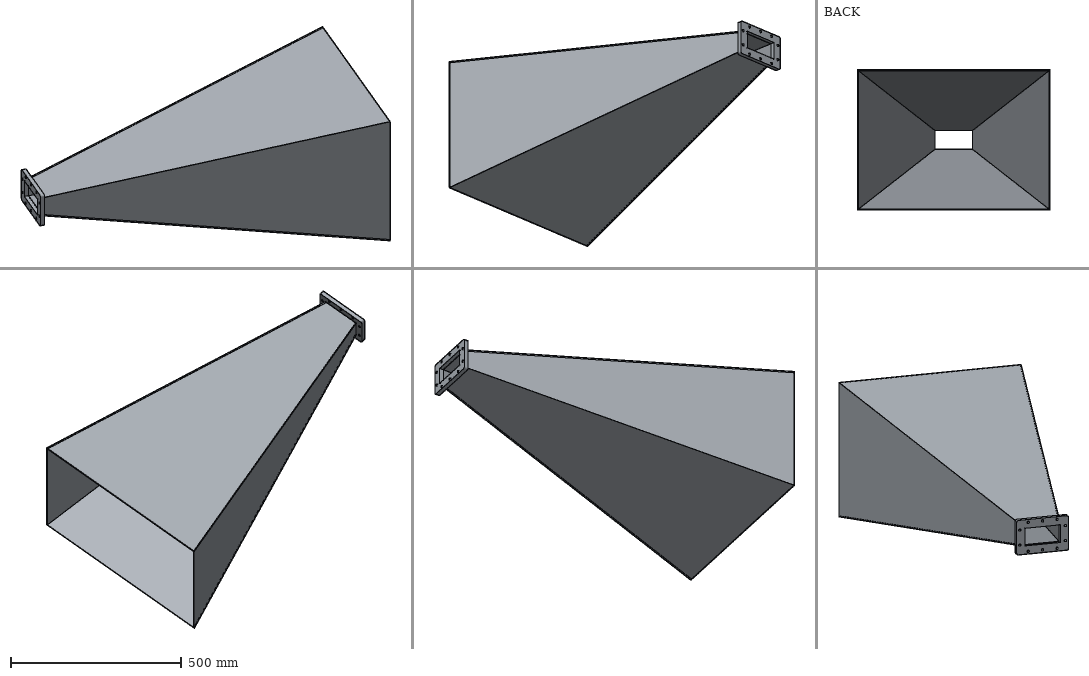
import cadquery as cq
import math

total_length = 1022.0
mouth_width = 566.0
mouth_height = 413.0
wall = 3.0

guide_width = 109.0
guide_height = 54.0
flange_width = 162.0
flange_height = 106.0
flange_thickness = 13.0
flange_corner_radius = 6.0

throat_width = 118.0
throat_height = 62.0

hole_diameter = 6.7
hole_row_height = 89.0
hole_row_pitch = 45.0
hole_column_width = 142.0
hole_column_pitch = 46.0

front_y = -total_length / 2
flange_back_y = front_y + flange_thickness
mouth_y = total_length / 2

rise = (mouth_height - throat_height) / 2
run = mouth_y - flange_back_y
slant_length = math.hypot(rise, run)

cover_rise = wall * slant_length / run


def rectangle_at(y, width, height):
    """Closed rectangle centred on the horn axis, in the plane at y."""
    x = width / 2
    z = height / 2
    corners = [(-x, y, -z), (x, y, -z), (x, y, z), (-x, y, z)]
    return cq.Wire.makePolygon([cq.Vector(*corner) for corner in corners], close=True)


def pyramid(side_inset, cover_inset):
    """Tapered solid from throat to mouth, reduced on each side in X and in Z."""
    throat = rectangle_at(
        flange_back_y, throat_width - 2 * side_inset, throat_height - 2 * cover_inset
    )
    mouth = rectangle_at(mouth_y, mouth_width - 2 * side_inset, mouth_height - 2 * cover_inset)
    return cq.Workplane(cq.Solid.makeLoft([throat, mouth], True))


def make_cover():
    """Upper sheet: a trapezoid on the slanted top of the side sheets, thickened square to itself."""
    underside = cq.Plane(
        origin=(0, flange_back_y, throat_height / 2 - cover_rise),
        xDir=(1, 0, 0),
        normal=(0, -rise, run),
    )
    outline = [
        (-throat_width / 2, 0),
        (throat_width / 2, 0),
        (mouth_width / 2, slant_length),
        (-mouth_width / 2, slant_length),
    ]
    sheet = cq.Workplane(underside).polyline(outline).close().extrude(wall)
    behind_flange = cq.Workplane("XY").box(mouth_width, run, mouth_height)
    return sheet.intersect(behind_flange.translate((0, flange_back_y + run / 2, 0)))


def make_flange():
    """Flange plate with rounded corners, the waveguide opening and the bolt holes."""
    row_holes = [
        (column * hole_row_pitch, side * hole_row_height / 2)
        for column in (-1, 0, 1)
        for side in (-1, 1)
    ]
    column_holes = [
        (side * hole_column_width / 2, row * hole_column_pitch / 2)
        for side in (-1, 1)
        for row in (-1, 1)
    ]
    back_plane = cq.Workplane("XZ", origin=(0, flange_back_y, 0))
    plate = (
        back_plane.rect(flange_width, flange_height)
        .extrude(flange_thickness)
        .edges("|Y")
        .fillet(flange_corner_radius)
    )
    opening = back_plane.rect(guide_width, guide_height).extrude(flange_thickness)
    holes = (
        back_plane.pushPoints(row_holes + column_holes)
        .circle(hole_diameter / 2)
        .extrude(flange_thickness)
    )
    return plate.cut(opening).cut(holes)


cover = make_cover()
side_sheets = pyramid(0, cover_rise).cut(pyramid(wall, cover_rise))
result = make_flange().union(side_sheets).union(cover).union(cover.mirror("XY"))